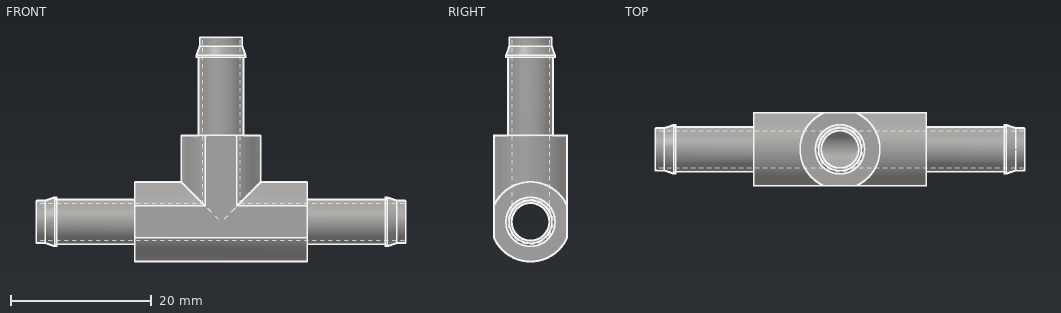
import cadquery as cq

arm_reach = 26.3
collar_reach = 12.3
collar_diameter = 11.35
collar_rounding = 0.15
body_width = 10.4
bore_diameter = 5.3

tube_diameter = 6.4
tip_diameter = 6.1
barb_diameter = 7.0
tip_rounding = 0.2
tip_length = 1.3
barb_end = 2.65
barb_land = 0.25

ARM_DIRECTIONS = [(1, 0, 0), (-1, 0, 0), (0, 0, 1)]


def along(direction):
    """Workplane at the bore crossing whose normal is the arm direction."""
    return cq.Workplane(cq.Plane(origin=(0, 0, 0), xDir=(0, 1, 0), normal=direction))


def collar(direction):
    """Thick cylinder with a rounded end rim."""
    return (
        along(direction)
        .circle(collar_diameter / 2)
        .extrude(collar_reach)
        .faces(cq.selectors.DirectionMinMaxSelector(cq.Vector(*direction), True))
        .fillet(collar_rounding)
    )


def make_body():
    """Tee of two crossing cylinders, trimmed by a flat on each side."""
    right, left, branch = [collar(arm) for arm in ARM_DIRECTIONS]
    tee = right.union(left).union(branch)
    envelope = cq.Workplane("XY").box(2 * arm_reach, body_width, 2 * arm_reach)
    return tee.intersect(envelope)


def spigot(direction):
    """Barbed tube, revolved about the Z axis and then laid along its arm."""
    tip_radius = tip_diameter / 2
    crest_radius = barb_diameter / 2
    tube_radius = tube_diameter / 2
    crest = arm_reach - barb_end
    profile = (
        cq.Workplane("XZ")
        .polyline([
            (0, 0),
            (tube_radius, 0),
            (tube_radius, crest - barb_land),
            (crest_radius, crest - barb_land),
            (crest_radius, crest),
            (tip_radius, arm_reach - tip_length),
            (tip_radius, arm_reach - tip_rounding),
        ])
        .tangentArcPoint((tip_radius - tip_rounding, arm_reach), relative=False)
        .lineTo(0, arm_reach)
        .close()
    )
    upright = profile.revolve(360, (0, 0, 0), (0, 1, 0))
    return upright.rotate((0, 0, 0), (0, 1, 0), 90 * direction[0])


result = make_body()
for arm in ARM_DIRECTIONS:
    result = result.union(spigot(arm))
for arm in ARM_DIRECTIONS:
    result = result.cut(along(arm).circle(bore_diameter / 2).extrude(arm_reach))